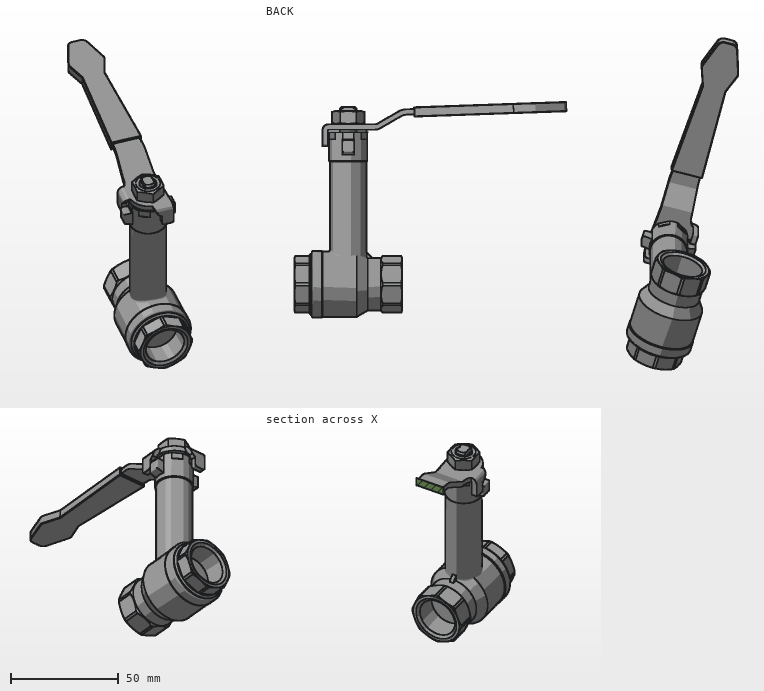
import math

import cadquery as cq


body_half_length = 25.0
body_radius = 15.3
collar_radius = 15.5
neck_radius = 12.25
neck_start_x = -15.1
cone_start_x = -9.05
cone_end_x = -3.9
collar_start_x = 11.8
collar_end_x = 17.0
collar_edge = 0.4
collar_fillet = 0.8
shoulder_step_x = 17.4
shoulder_end_x = 18.2
shoulder_radius = 14.3

octagon_sides = 8
octagon_flats = 24.85
octagon_corner_radius = 13.2
octagon_end_x = -16.05
end_face_radius = 12.4
end_chamfer_length = 0.4

bore_radius = 9.4
bore_mouth_radius = 10.9
bore_mouth_depth = 1.0
bore_depth = 11.6

tube_radius = 8.55
tube_fillet = 0.8
sleeve_radius = 8.95
sleeve_bottom_z = 57.0
hexagon_bottom_z = 67.4
sleeve_top_z = 70.7
sleeve_chamfer = 0.35

rib_width = 2.0
rib_foot_x = -11.2
rib_top_z = 15.4

lug_width = 5.4
lug_reach = 12.5
lug_edge_fillet = 0.5
lug_bottom_z = 60.2
lug_outer_bottom_z = 61.3
lug_outer_top_z = 67.0

lever_thickness = 2.6
plate_top_z = 74.4
plate_mid_z = plate_top_z - lever_thickness / 2
lower_bend_x = -13.4
lower_bend_radius = 2.4
upper_bend_x = -25.4
upper_bend_radius = 5.5
crank_angle = 30.0
handle_tilt = 2.0
strip_inner_end_x = -33.0
taper_start_x = -36.0
taper_start_half_width = 6.3
taper_end_x = -11.7
taper_end_half_width = 7.5
plate_back_y = 8.5
plate_corner_radius = 9.0

tab_reach = 12.05
tab_bend_inner_radius = 0.4
tab_bottom_z = 64.1
tab_start = -8.5
tab_wide_end = 1.2
tab_mid_end = -1.1
tab_narrow_end = -2.8
tab_step_z = 69.1
tab_step_top_z = 70.5
tab_corner_radius = 1.2

lever_tip_x = -101.46
grip_top_z = 84.81
grip_thickness = 4.5
grip_tip_x = lever_tip_x + grip_thickness * math.sin(math.radians(handle_tilt))
grip_end_x = -30.5
grip_end_half_width = 7.45
waist_x = -76.7
waist_half_width = 5.6
wing_x = -86.4
wing_half_width = 9.0
wing_fillet = 3.3
nose_half_width = 4.1
nose_fillet = 3.3
grip_edge_chamfer = 0.3

stem_radius = 4.0
stem_top_radius = 3.1
stem_top_z = 82.4
stem_flats = 4.9
flats_depth_in_nut = 0.8
nut_flats = 13.1
nut_top_z = 80.7
nut_face_radius = 5.7
nut_chamfer_height = 0.6
hexagon_sides = 6

embed = 1.0

corner_window = 1.0
match_tolerance = 0.01


def across_corners(flats, sides):
    return flats / math.cos(math.pi / sides)


def revolve_about_pipe(points):
    """Solid of revolution about X from (x, radius) points."""
    return cq.Workplane("XY").polyline(points).close().revolve(360, (0, 0, 0), (1, 0, 0))


def revolve_about_stem(points):
    """Solid of revolution about Z from (radius, z) points."""
    return cq.Workplane("XZ").polyline(points).close().revolve(360, (0, 0, 0), (0, 1, 0))


def wrench_end():
    """Octagonal end at the -X side of the body."""
    octagon = (
        cq.Workplane("YZ", origin=(-body_half_length, 0, 0))
        .polygon(octagon_sides, across_corners(octagon_flats, octagon_sides))
        .extrude(neck_start_x + body_half_length)
    )
    turned = revolve_about_pipe([
        (-body_half_length, 0),
        (-body_half_length, end_face_radius),
        (-body_half_length + end_chamfer_length, octagon_corner_radius),
        (octagon_end_x, octagon_corner_radius),
        (neck_start_x, neck_radius),
        (neck_start_x, 0),
    ])
    return octagon.intersect(turned)


def bore():
    """Blind threaded bore entering from the -X end."""
    mouth_end_x = -body_half_length + bore_mouth_depth
    bore_end_x = -body_half_length + bore_depth
    return revolve_about_pipe([
        (-body_half_length, 0),
        (-body_half_length, bore_mouth_radius),
        (mouth_end_x, bore_radius),
        (bore_end_x, bore_radius),
        (bore_end_x, 0),
    ])


def is_tube_joint(edge):
    """True for the curved edges where the tube leaves the body."""
    point = edge.positionAt(0.5)
    on_tube = math.isclose(math.hypot(point.x, point.y), tube_radius, abs_tol=match_tolerance)
    return on_tube and edge.geomType() != "LINE" and 0 < point.z < body_radius


def is_collar_rim(edge):
    """True for the outer circle at the +X end of the collar."""
    is_outer = math.isclose(edge.radius(), collar_radius, abs_tol=match_tolerance)
    return is_outer and math.isclose(edge.Center().x, collar_end_x, abs_tol=match_tolerance)


def valve_body():
    """Turned body with the neck tube blended into it and the collar at its +X end."""
    core = revolve_about_pipe([
        (neck_start_x, 0),
        (neck_start_x, neck_radius),
        (cone_start_x, neck_radius),
        (cone_end_x, body_radius),
        (collar_start_x, body_radius),
        (collar_start_x, 0),
    ])
    tube = cq.Workplane("XY").circle(tube_radius).extrude(sleeve_top_z)
    shell = core.union(tube)
    joint_edges = [edge for edge in shell.edges().vals() if is_tube_joint(edge)]
    shell = shell.newObject(joint_edges).fillet(tube_fillet)

    collar = revolve_about_pipe([
        (collar_start_x, 0),
        (collar_start_x, collar_radius - collar_edge),
        (collar_start_x + collar_edge, collar_radius),
        (collar_end_x, collar_radius),
        (collar_end_x, shoulder_radius),
        (shoulder_step_x, shoulder_radius),
        (shoulder_end_x, octagon_corner_radius),
        (shoulder_end_x, 0),
    ])
    rim_edges = [edge for edge in collar.edges("%CIRCLE").vals() if is_collar_rim(edge)]
    collar = collar.newObject(rim_edges).fillet(collar_fillet)
    return shell.union(collar)


def rib():
    """Rib at 45 degrees in the corner between the body's neck and the tube."""
    rib_height = rib_top_z - neck_radius
    return (
        cq.Workplane("XZ", origin=(0, rib_width / 2, 0))
        .moveTo(rib_foot_x, neck_radius - embed)
        .lineTo(rib_foot_x, neck_radius)
        .lineTo(rib_foot_x + rib_height, rib_top_z)
        .lineTo(rib_foot_x + rib_height, neck_radius - embed)
        .close()
        .extrude(rib_width)
    )


def sleeve():
    """Stop sleeve, round below and with six flats at its top."""
    round_part = (
        cq.Workplane("XY", origin=(0, 0, sleeve_bottom_z))
        .circle(sleeve_radius)
        .extrude(hexagon_bottom_z - sleeve_bottom_z)
        .faces("<Z").chamfer(sleeve_chamfer)
    )
    flat_height = sleeve_top_z - hexagon_bottom_z
    flats = (
        cq.Workplane("XY", origin=(0, 0, hexagon_bottom_z))
        .polygon(hexagon_sides, across_corners(2 * tube_radius, hexagon_sides))
        .extrude(flat_height)
    )
    rounded = (
        cq.Workplane("XY", origin=(0, 0, hexagon_bottom_z))
        .circle(sleeve_radius)
        .extrude(flat_height)
    )
    return round_part.union(flats.intersect(rounded))


def lug():
    """Stop lug on the -Y side of the sleeve."""
    return (
        cq.Workplane("YZ", origin=(-lug_width / 2, 0, 0))
        .moveTo(-tube_radius + embed, lug_bottom_z)
        .lineTo(-sleeve_radius, lug_bottom_z)
        .lineTo(-lug_reach, lug_outer_bottom_z)
        .lineTo(-lug_reach, lug_outer_top_z)
        .lineTo(-sleeve_radius, lug_outer_top_z)
        .lineTo(-tube_radius, hexagon_bottom_z)
        .lineTo(-tube_radius + embed, hexagon_bottom_z)
        .close()
        .extrude(lug_width)
        .faces("<Y").edges().fillet(lug_edge_fillet)
    )


def lever_strip():
    """Plate, crank and start of the handle, cut to the tapered plan outline."""
    half = lever_thickness / 2
    rise = (lower_bend_x - upper_bend_x) * math.tan(math.radians(crank_angle))
    upper_z = plate_mid_z + rise
    inner_z = upper_z + (upper_bend_x - strip_inner_end_x) * math.tan(math.radians(handle_tilt))
    lower_shift = half * math.tan(math.radians(crank_angle / 2))
    turn = crank_angle - handle_tilt
    miter = half / math.cos(math.radians(turn / 2))
    miter_angle = math.radians((crank_angle + handle_tilt) / 2)
    upper_dx = miter * math.sin(miter_angle)
    upper_dz = miter * math.cos(miter_angle)

    side = (
        cq.Workplane("XZ", origin=(0, collar_radius, 0))
        .moveTo(strip_inner_end_x, inner_z + half)
        .lineTo(upper_bend_x + upper_dx, upper_z + upper_dz)
        .lineTo(lower_bend_x + lower_shift, plate_mid_z + half)
        .lineTo(tab_reach, plate_mid_z + half)
        .lineTo(tab_reach, plate_mid_z - half)
        .lineTo(lower_bend_x - lower_shift, plate_mid_z - half)
        .lineTo(upper_bend_x - upper_dx, upper_z - upper_dz)
        .lineTo(strip_inner_end_x, inner_z - half)
        .close()
        .extrude(2 * collar_radius)
    )
    lower_outer_radius = lower_bend_radius + lever_thickness
    upper_outer_radius = upper_bend_radius + lever_thickness
    bend_corners = (
        (lower_bend_x + lower_shift, plate_mid_z + half, lower_bend_radius),
        (lower_bend_x - lower_shift, plate_mid_z - half, lower_outer_radius),
        (upper_bend_x + upper_dx, upper_z + upper_dz, upper_outer_radius),
        (upper_bend_x - upper_dx, upper_z - upper_dz, upper_bend_radius),
    )
    for corner_x, corner_z, radius in bend_corners:
        corner = cq.selectors.NearestToPointSelector((corner_x, 0, corner_z))
        side = side.edges("|Y").edges(corner).fillet(radius)

    bend_start = tab_reach - lever_thickness - tab_bend_inner_radius
    arc_mid = plate_corner_radius / math.sqrt(2)
    plan = (
        cq.Workplane("XY", origin=(0, 0, sleeve_top_z))
        .moveTo(taper_start_x, -taper_start_half_width)
        .lineTo(taper_end_x, -taper_end_half_width)
        .tangentArcPoint((tab_start, -bend_start), relative=False)
        .lineTo(tab_wide_end, -bend_start)
        .threePointArc((arc_mid, -arc_mid), (bend_start, -tab_wide_end))
        .lineTo(bend_start, plate_back_y)
        .lineTo(taper_end_x, taper_end_half_width)
        .lineTo(taper_start_x, taper_start_half_width)
        .close()
        .extrude(grip_top_z - sleeve_top_z)
    )
    return side.intersect(plan)


def front_tab():
    """Tab bent down from the -Y edge of the plate."""
    bottom_of_plate = plate_top_z - lever_thickness
    outer_radius = tab_bend_inner_radius + lever_thickness
    bend_y = -tab_reach + outer_radius
    bend_z = plate_top_z - outer_radius
    diagonal = math.sqrt(0.5)
    section = (
        cq.Workplane("YZ", origin=(tab_start, 0, 0))
        .moveTo(bend_y, plate_top_z)
        .threePointArc(
            (bend_y - outer_radius * diagonal, bend_z + outer_radius * diagonal),
            (-tab_reach, bend_z),
        )
        .lineTo(-tab_reach, tab_bottom_z)
        .lineTo(-tab_reach + lever_thickness, tab_bottom_z)
        .lineTo(-tab_reach + lever_thickness, bend_z)
        .threePointArc(
            (bend_y - tab_bend_inner_radius * diagonal, bend_z + tab_bend_inner_radius * diagonal),
            (bend_y, bottom_of_plate),
        )
        .close()
        .extrude(tab_wide_end - tab_start)
    )
    face_outline = (
        cq.Workplane("XZ")
        .moveTo(tab_start, plate_top_z)
        .lineTo(tab_wide_end, plate_top_z)
        .lineTo(tab_mid_end, tab_step_top_z)
        .lineTo(tab_narrow_end, tab_step_z)
        .lineTo(tab_narrow_end, tab_bottom_z)
        .lineTo(tab_start, tab_bottom_z)
        .close()
        .extrude(tab_reach)
        .edges("|Y").edges("<Z").fillet(tab_corner_radius)
    )
    return section.intersect(face_outline)


def side_tab():
    """Tab on the +X edge, the mirror image of the front tab about the plate's diagonal."""
    return front_tab().mirror("XZ").rotate((0, 0, 0), (0, 0, 1), -90)


def grip():
    """Grip slab, drawn flat and then tilted up towards its tip."""
    outline = (
        cq.Workplane("XY", origin=(0, 0, grip_top_z - grip_thickness))
        .moveTo(grip_tip_x, nose_half_width)
        .lineTo(wing_x, wing_half_width)
        .lineTo(waist_x, waist_half_width)
        .lineTo(grip_end_x, grip_end_half_width)
        .lineTo(grip_end_x, -grip_end_half_width)
        .lineTo(waist_x, -waist_half_width)
        .lineTo(wing_x, -wing_half_width)
        .lineTo(grip_tip_x, -nose_half_width)
        .close()
        .extrude(grip_thickness)
    )
    for corner_x, radius in ((grip_tip_x, nose_fillet), (wing_x, wing_fillet)):
        corners = cq.selectors.BoxSelector(
            (corner_x - corner_window, -collar_radius, 0),
            (corner_x + corner_window, collar_radius, grip_top_z),
        )
        outline = outline.edges("|Z").edges(corners).fillet(radius)
    outline = outline.faces("<Z or >Z or >X").edges().chamfer(grip_edge_chamfer)
    pivot = (grip_tip_x, 0, grip_top_z)
    return outline.rotate(pivot, (grip_tip_x, 1, grip_top_z), handle_tilt)


def stem():
    """Round stem with a 45 degree chamfer at its top."""
    return revolve_about_stem([
        (0, sleeve_top_z - embed),
        (stem_radius, sleeve_top_z - embed),
        (stem_radius, stem_top_z - (stem_radius - stem_top_radius)),
        (stem_top_radius, stem_top_z),
        (0, stem_top_z),
    ])


def stem_flats_cut():
    """Material removed beside the two flats at the stem's top, reaching just into the nut."""
    bottom_z = nut_top_z - flats_depth_in_nut
    height = stem_top_z - bottom_z
    cylinder = cq.Workplane("XY", origin=(0, 0, bottom_z)).circle(stem_radius).extrude(height)
    flats_outline = cq.Workplane("XY", origin=(0, 0, bottom_z)).rect(2 * stem_radius, stem_flats)
    kept = flats_outline.extrude(height)
    return cylinder.cut(kept)


def nut():
    """Hexagon nut with both ends chamfered."""
    corner_diameter = across_corners(nut_flats, hexagon_sides)
    corner_radius = corner_diameter / 2
    hexagon = (
        cq.Workplane("XY", origin=(0, 0, plate_top_z))
        .polygon(hexagon_sides, corner_diameter)
        .extrude(nut_top_z - plate_top_z)
    )
    turned = revolve_about_stem([
        (0, plate_top_z),
        (nut_face_radius, plate_top_z),
        (corner_radius, plate_top_z + nut_chamfer_height),
        (corner_radius, nut_top_z - nut_chamfer_height),
        (nut_face_radius, nut_top_z),
        (0, nut_top_z),
    ])
    return hexagon.intersect(turned)


valve = valve_body().union(wrench_end()).union(wrench_end().mirror("YZ"))
valve = valve.union(rib()).union(sleeve()).union(lug()).union(lug().mirror("XZ"))
valve = valve.cut(bore()).cut(bore().mirror("YZ"))

lever = lever_strip().union(front_tab()).union(side_tab()).union(grip())
result = valve.union(lever).union(nut()).union(stem()).cut(stem_flats_cut())